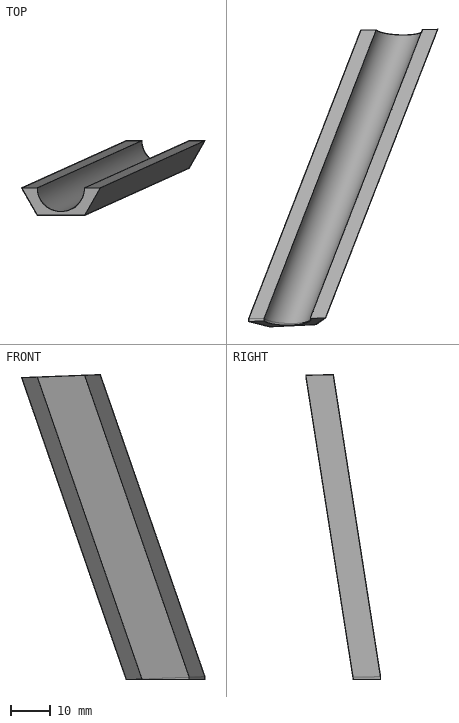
import cadquery as cq
import math

back_width = 20.0
front_width = 12.0
depth = 7.0
channel_radius = 6.0

lean_x = 26.58
lean_y = 12.0
total_height = 77.5
end_tilt = 2.2

wedge_height = back_width * math.tan(math.radians(end_tilt))
rise = total_height - wedge_height


def cross_section():
    """Channel section in the XY plane, with the channel centred on the origin."""
    return (
        cq.Workplane("XY")
        .moveTo(-back_width / 2, 0)
        .lineTo(-front_width / 2, -depth)
        .lineTo(front_width / 2, -depth)
        .lineTo(back_width / 2, 0)
        .lineTo(channel_radius, 0)
        .threePointArc((0, -channel_radius), (-channel_radius, 0))
        .close()
    )


def wedge_foot():
    """Upright piece with a flat base and a sloped top that the bar stands on."""
    under_slope = (
        cq.Workplane("XZ")
        .moveTo(-back_width / 2, 0)
        .lineTo(back_width / 2, 0)
        .lineTo(back_width / 2, wedge_height)
        .close()
        .extrude(depth)
    )
    return cross_section().extrude(wedge_height).intersect(under_slope)


def leaning_bar(foot):
    """Bar made by moving the sloped face of the foot along the lean direction."""
    tilt_angle = math.radians(end_tilt)
    slope_normal = cq.Vector(-math.sin(tilt_angle), 0, math.cos(tilt_angle))
    sloped_face = foot.faces(cq.DirectionSelector(slope_normal)).val()
    lean = cq.Vector(-lean_x, -lean_y, rise)
    return cq.Workplane(cq.Solid.extrudeLinear(sloped_face, lean))


foot = wedge_foot()
result = foot.union(leaning_bar(foot))